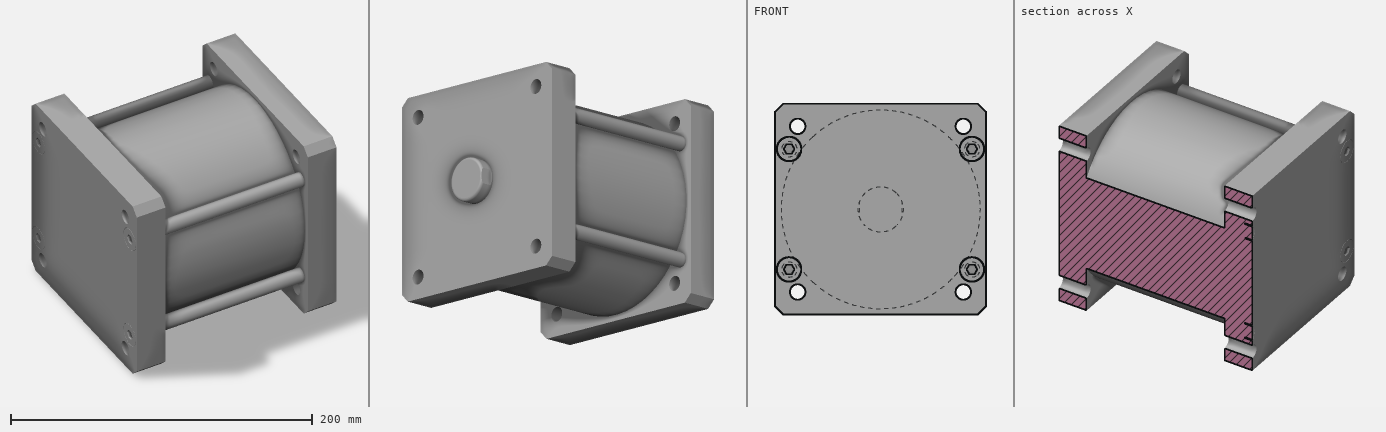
import cadquery as cq

total_length = 163.0

plate_width = 140.0
plate_thickness = 22.0
plate_chamfer = 5.5

barrel_diameter = 132.0

rod_diameter = 10.1
rod_offset_x = 60.6
rod_offset_z = 40.0

mount_hole_diameter = 10.1
mount_hole_offset = 55.0

counterbore_diameter = 16.5
counterbore_depth = 6.0
screw_head_diameter = 16.0
socket_across_corners = 7.2
socket_depth = 1.6

boss_diameter = 30.0
boss_length = 10.1
boss_edge_radius = 2.0
boss_across_flats = 28.0
boss_collar_length = 1.3

front_face = -total_length / 2
boss_end = total_length / 2
rear_face = boss_end - boss_length
barrel_start = front_face + plate_thickness
barrel_end = rear_face - plate_thickness

rod_centers = [(sx * rod_offset_x, sz * rod_offset_z) for sx in (-1, 1) for sz in (-1, 1)]
mount_hole_centers = [(sx * mount_hole_offset, sz * mount_hole_offset) for sx in (-1, 1) for sz in (-1, 1)]


def section_at(y):
    """Sketch plane across the axis at y, with local x along X and local y along Z."""
    return cq.Workplane("XZ", origin=(0, y, 0))


def cylinders(centers, diameter, y_start, y_end):
    """Cylinders parallel to the axis, from y_start to y_end."""
    return section_at(y_end).pushPoints(centers).circle(diameter / 2).extrude(y_end - y_start)


def end_plate(y_start):
    """Square plate with chamfered corners."""
    plate = section_at(y_start + plate_thickness).rect(plate_width, plate_width).extrude(plate_thickness)
    return plate.edges("|Y").chamfer(plate_chamfer)


def flatted_boss():
    """Rounded boss with a wrench flat on each X side, above a short round collar."""
    boss = cylinders([(0, 0)], boss_diameter, rear_face, boss_end)
    boss = boss.faces(">Y").edges().fillet(boss_edge_radius)
    flats_start = rear_face + boss_collar_length
    flats_length = boss_end - flats_start
    outside_flats = (
        section_at(boss_end)
        .rect(2 * boss_diameter, 2 * boss_diameter)
        .rect(boss_across_flats, 2 * boss_diameter)
        .extrude(flats_length)
    )
    return boss.cut(outside_flats)


def screw_clearances():
    """Thin ring gaps between the flush screw heads and their counterbores."""
    recess_end = front_face + counterbore_depth
    recesses = cylinders(rod_centers, counterbore_diameter, front_face, recess_end)
    heads = cylinders(rod_centers, screw_head_diameter, front_face, recess_end)
    return recesses.cut(heads)


def screw_sockets():
    """Hexagonal sockets in the screw heads, with two corners along X."""
    return (
        section_at(front_face + socket_depth)
        .pushPoints(rod_centers)
        .polygon(6, socket_across_corners)
        .extrude(socket_depth)
    )


result = (
    end_plate(front_face)
    .union(end_plate(barrel_end))
    .union(cylinders([(0, 0)], barrel_diameter, barrel_start, barrel_end))
    .union(cylinders(rod_centers, rod_diameter, barrel_start, barrel_end))
    .union(flatted_boss())
    .cut(cylinders(mount_hole_centers, mount_hole_diameter, front_face, rear_face))
    .cut(screw_clearances())
    .cut(screw_sockets())
)